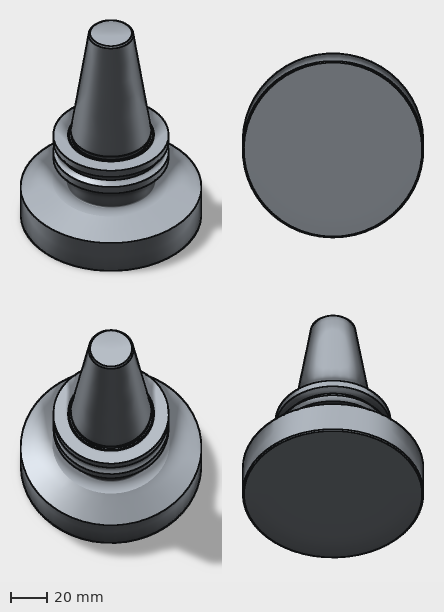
import cadquery as cq

total_height = 128.4
base_radius = 49.8

base_edge_chamfer = 0.8
base_rim_height = 20.3
base_top_height = 25.0
base_top_radius = 32.4

neck_radius = 24.3
neck_fillet = 0.8

flange_diameter = 63.5
flange_radius = flange_diameter / 2
flange_bottom = 40.8
flange_top = 56.9
groove_center = 48.9
groove_mouth_width = 7.0
groove_floor_width = 3.1
groove_floor_radius = 28.2

recess_outer_radius = 23.8
recess_floor_radius = 23.0
recess_depth = 0.3

taper_ratio = 7 / 24
gauge_height = 60.0
gauge_radius = 22.2
collar_radius = 21.8
collar_top = 58.5
gauge_band_height = 0.8
tip_chamfer_height = 1.0
tip_chamfer_width = 0.9


def taper_radius(height):
    """Radius of the steep taper at a height above the base."""
    return gauge_radius - (height - gauge_height) * taper_ratio / 2


def make_body():
    """Revolve the outer half profile of the tool holder about Z."""
    gauge_band_bottom = gauge_height - gauge_band_height
    tip_edge = total_height - tip_chamfer_height
    tip_radius = taper_radius(tip_edge)
    profile = (
        cq.Workplane("XZ")
        .lineTo(base_radius - base_edge_chamfer, 0)
        .lineTo(base_radius, base_edge_chamfer)
        .lineTo(base_radius, base_rim_height)
        .lineTo(base_top_radius, base_top_height)
        .lineTo(neck_radius + neck_fillet, base_top_height)
        .radiusArc((neck_radius, base_top_height + neck_fillet), neck_fillet)
        .lineTo(neck_radius, flange_bottom)
        .lineTo(flange_radius, flange_bottom)
        .lineTo(flange_radius, flange_top)
        .lineTo(recess_outer_radius, flange_top)
        .lineTo(recess_floor_radius, flange_top - recess_depth)
        .lineTo(collar_radius, flange_top - recess_depth)
        .lineTo(collar_radius, collar_top)
        .lineTo(gauge_radius, gauge_band_bottom)
        .lineTo(gauge_radius, gauge_height)
        .lineTo(tip_radius, tip_edge)
        .lineTo(tip_radius - tip_chamfer_width, total_height)
        .lineTo(0, total_height)
        .close()
    )
    return profile.revolve(360, (0, 0, 0), (0, 1, 0))


def make_groove():
    """Ring with a trapezoid section, cut into the flange rim."""
    half_mouth = groove_mouth_width / 2
    half_floor = groove_floor_width / 2
    section = (
        cq.Workplane("XZ")
        .moveTo(flange_radius, groove_center - half_mouth)
        .lineTo(groove_floor_radius, groove_center - half_floor)
        .lineTo(groove_floor_radius, groove_center + half_floor)
        .lineTo(flange_radius, groove_center + half_mouth)
        .close()
    )
    return section.revolve(360, (0, 0, 0), (0, 1, 0))


result = make_body().cut(make_groove())